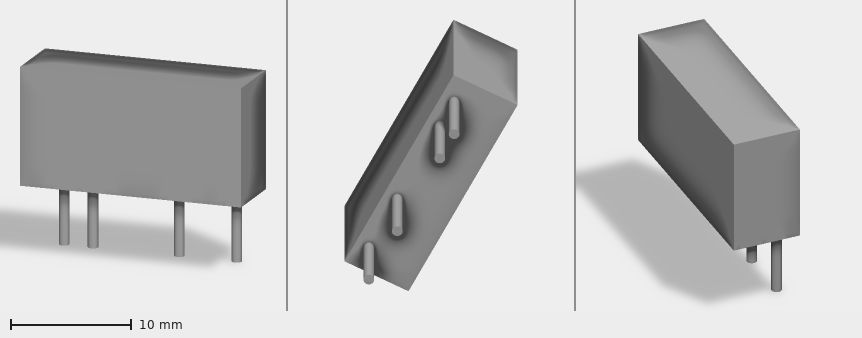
import cadquery as cq

housing_length = 19.5
housing_width = 6.0
total_height = 16.36
pin_length = 6.1
housing_height = total_height - pin_length

pin_diameter = 0.89
pin_pitch = 2.54
pin_grid_steps = [-3, -2, 1, 3]
pin_row_inset = 1.17
pin_row_y = housing_width / 2 - pin_row_inset


def make_housing():
    return cq.Workplane("XY").box(
        housing_length, housing_width, housing_height, centered=(True, True, False)
    )


def make_pin(x):
    """One straight pin hanging from the underside of the housing."""
    return cq.Workplane("XY").center(x, pin_row_y).circle(pin_diameter / 2).extrude(-pin_length)


housing = make_housing()
pins = [make_pin(step * pin_pitch) for step in pin_grid_steps]

result = cq.Compound.makeCompound([housing.val(), *[pin.val() for pin in pins]])